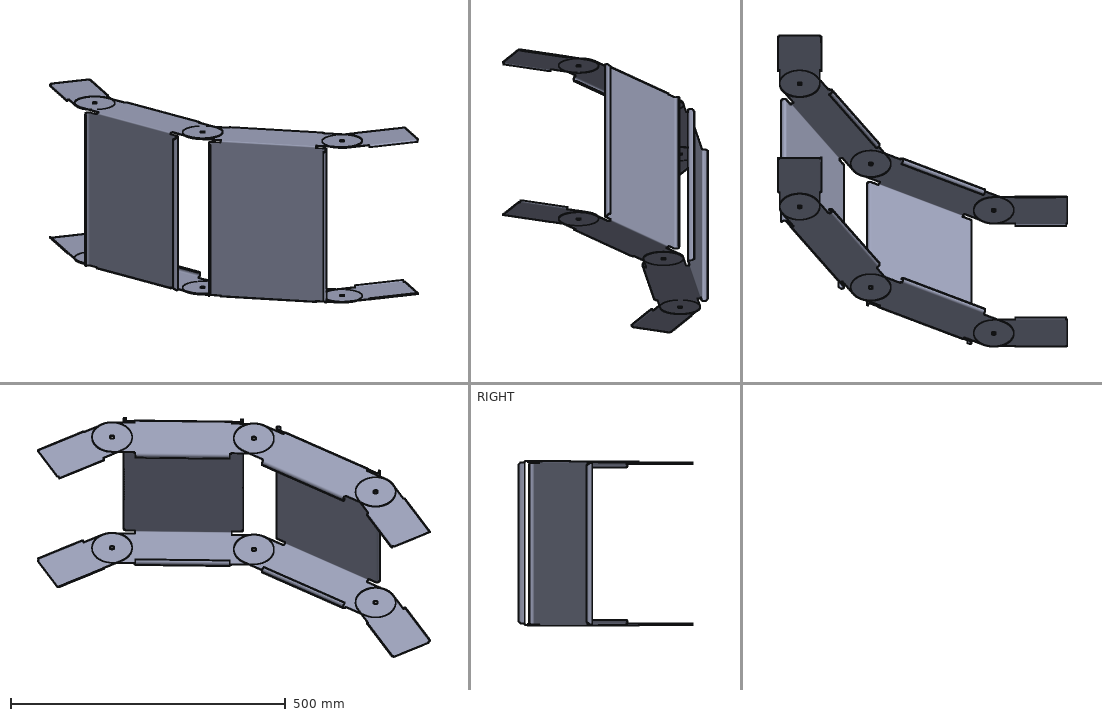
import cadquery as cq
import math


SHEET = 1.2
PIVOT_SPACING = 258.5
JOINT_RADIUS = 36.5
PIVOT_HOLE_DIAMETER = 8.0
JOINT_ANGLE = 30.0

OVERALL_HEIGHT = 301.0
TRAY_HEIGHT = OVERALL_HEIGHT - SHEET
CHANNEL_LENGTH = 177.0
FLANGE_LENGTH = 172.5
PANEL_FACE_Y = -43.0
PANEL_BEND_RADIUS = 2.5
FLANGE_FACE_Y = 44.0
FLANGE_BEND_RADIUS = 5.0
FLANGE_HEIGHT = 11.5
LIP_WIDTH = 7.0

WING_INSET = 3.0
WING_REACH = 109.0
HOOK_DEPTH = 12.0
HOOK_BEND_RADIUS = 5.0
HOOK_END_CHAMFER = 4.0

LINK_LENGTH = 134.0
LINK_FLANGE_START = 39.0
LINK_FLANGE_INSET = 2.0
LINK_BEND_RADIUS = 3.5

TRAY_MIDDLE = PIVOT_SPACING / 2


def bar(length, first_y, last_y, bottom_z, top_z):
    """Plain box centred on the middle of the tray."""
    return (
        cq.Workplane("XY")
        .box(length, last_y - first_y, top_z - bottom_z)
        .translate((TRAY_MIDDLE, (first_y + last_y) / 2, (bottom_z + top_z) / 2))
    )


def panel_fold():
    """Panel with both side plates up to where their flanges bend off."""
    last_y = FLANGE_FACE_Y - FLANGE_BEND_RADIUS
    outside = bar(CHANNEL_LENGTH, PANEL_FACE_Y, last_y, 0, TRAY_HEIGHT)
    outside = outside.edges("|X and <Y").fillet(PANEL_BEND_RADIUS)
    inside = bar(CHANNEL_LENGTH, PANEL_FACE_Y + SHEET, last_y, SHEET, TRAY_HEIGHT - SHEET)
    inside = inside.edges("|X and <Y").fillet(PANEL_BEND_RADIUS - SHEET)
    return outside.cut(inside)


def folded_flange():
    """Half of the lower side plate with its edge folded up and back into a narrow lip."""
    outside = bar(FLANGE_LENGTH, 0, FLANGE_FACE_Y, 0, FLANGE_HEIGHT)
    outside = outside.edges("|X and >Y").fillet(FLANGE_BEND_RADIUS)
    inside = bar(FLANGE_LENGTH, 0, FLANGE_FACE_Y - SHEET, SHEET, FLANGE_HEIGHT - SHEET)
    inside = inside.edges("|X and >Y").fillet(FLANGE_BEND_RADIUS - SHEET)
    beyond_lip = bar(FLANGE_LENGTH, 0, FLANGE_FACE_Y - LIP_WIDTH, SHEET, FLANGE_HEIGHT)
    return outside.cut(inside).cut(beyond_lip)


def upside_down(body):
    """Mirror image of a tray feature in the middle height of the tray."""
    return body.mirror("XY", (0, 0, TRAY_HEIGHT / 2))


def channel():
    """Channel whose open side is edged by two folded flanges."""
    flange = folded_flange()
    return panel_fold().union(flange).union(upside_down(flange))


def hinge_plate(bottom_z):
    """Round-ended plate running past both pivots."""
    return (
        cq.Workplane("XY", origin=(TRAY_MIDDLE, 0, bottom_z))
        .slot2D(PIVOT_SPACING + 2 * JOINT_RADIUS, 2 * JOINT_RADIUS)
        .extrude(SHEET)
    )


def hook_corner():
    """Wedge to cut from the lower corner of a hook at its outermost face."""
    lowest_y = PANEL_FACE_Y + SHEET - HOOK_DEPTH
    return (
        cq.Workplane("YZ", origin=(WING_REACH - HOOK_BEND_RADIUS, 0, 0))
        .moveTo(lowest_y, WING_INSET)
        .lineTo(lowest_y + HOOK_END_CHAMFER, WING_INSET)
        .lineTo(lowest_y, WING_INSET + HOOK_END_CHAMFER)
        .close()
        .extrude(HOOK_BEND_RADIUS)
    )


def wing_prism(inset):
    """Solid bounded by the outer faces of a wing and its hook, moved inwards by inset."""
    depth = HOOK_DEPTH - 2 * inset
    last_y = PANEL_FACE_Y + SHEET - inset
    return (
        cq.Workplane("XY", origin=(0, last_y - depth, WING_INSET))
        .rect(WING_REACH - inset, depth, centered=False)
        .extrude(TRAY_HEIGHT - 2 * WING_INSET)
        .edges("|Z and >X")
        .fillet(HOOK_BEND_RADIUS - inset)
    )


def hooked_wing():
    """Half of the panel with its wing, bent twice into an open hook at the end."""
    beyond_hook = (
        cq.Workplane("XY", origin=(0, PANEL_FACE_Y - HOOK_DEPTH, 0))
        .rect(WING_REACH - HOOK_BEND_RADIUS, HOOK_DEPTH, centered=False)
        .extrude(TRAY_HEIGHT)
    )
    corner = hook_corner()
    wing = wing_prism(0).cut(wing_prism(SHEET)).cut(beyond_hook)
    return wing.cut(corner).cut(upside_down(corner))


def pivot_holes(*positions):
    """Cutter for the pivot holes, long enough for any body."""
    return (
        cq.Workplane("XY", origin=(0, 0, -TRAY_HEIGHT))
        .pushPoints([(x, 0) for x in positions])
        .circle(PIVOT_HOLE_DIAMETER / 2)
        .extrude(3 * TRAY_HEIGHT)
    )


def tray():
    """Tray along +X with its first pivot on the Z axis and its underside at Z = 0."""
    wing = hooked_wing()
    body = channel().union(hinge_plate(0)).union(hinge_plate(TRAY_HEIGHT - SHEET))
    for side in (wing, wing.mirror("YZ")):
        body = body.union(side.translate((TRAY_MIDDLE, 0, 0)))
    return body.cut(pivot_holes(0, PIVOT_SPACING))


def link():
    """Link along +X, pivot on the Z axis, flat face at Z = 0 and both long edges curling to -Z."""
    flange_length = LINK_LENGTH - LINK_FLANGE_INSET - LINK_FLANGE_START
    plate = cq.Workplane("XY").circle(JOINT_RADIUS).extrude(-SHEET)
    plate = plate.union(
        cq.Workplane("XY")
        .rect(LINK_LENGTH, 2 * JOINT_RADIUS)
        .extrude(-SHEET)
        .translate((LINK_LENGTH / 2, 0, 0))
    )
    face_y = JOINT_RADIUS + LINK_BEND_RADIUS
    inner_radius = LINK_BEND_RADIUS - SHEET
    slant = math.sqrt(0.5)
    flange = (
        cq.Workplane("YZ", origin=(LINK_FLANGE_START, 0, 0))
        .lineTo(JOINT_RADIUS, 0)
        .threePointArc(
            (JOINT_RADIUS + LINK_BEND_RADIUS * slant, LINK_BEND_RADIUS * (slant - 1)),
            (face_y, -LINK_BEND_RADIUS),
        )
        .lineTo(face_y - SHEET, -LINK_BEND_RADIUS)
        .threePointArc(
            (JOINT_RADIUS + inner_radius * slant, inner_radius * slant - LINK_BEND_RADIUS),
            (JOINT_RADIUS, -SHEET),
        )
        .lineTo(0, -SHEET)
        .close()
        .extrude(flange_length)
    )
    return plate.union(flange).union(flange.mirror("XZ")).cut(pivot_holes(0))


def place(body, pivot, angle, z):
    """Turn a body about its own pivot, then move that pivot to a joint."""
    return body.rotate((0, 0, 0), (0, 0, 1), angle).translate((*pivot, z))


turn = math.radians(JOINT_ANGLE)
FIRST_PIVOT = (0, 0)
MIDDLE_PIVOT = (PIVOT_SPACING, 0)
LAST_PIVOT = (PIVOT_SPACING * (1 + math.cos(turn)), PIVOT_SPACING * math.sin(turn))

bodies = [
    place(tray(), FIRST_PIVOT, 0, SHEET),
    place(tray(), MIDDLE_PIVOT, JOINT_ANGLE, 0),
]
top_link = link()
bottom_link = link().mirror("XY")
for pivot, angle, tray_z in (
    (FIRST_PIVOT, 180 - JOINT_ANGLE, SHEET),
    (LAST_PIVOT, 2 * JOINT_ANGLE, 0),
):
    bodies.append(place(top_link, pivot, angle, tray_z + TRAY_HEIGHT - SHEET))
    bodies.append(place(bottom_link, pivot, angle, tray_z + SHEET))

result = cq.Compound.makeCompound([body.val() for body in bodies])